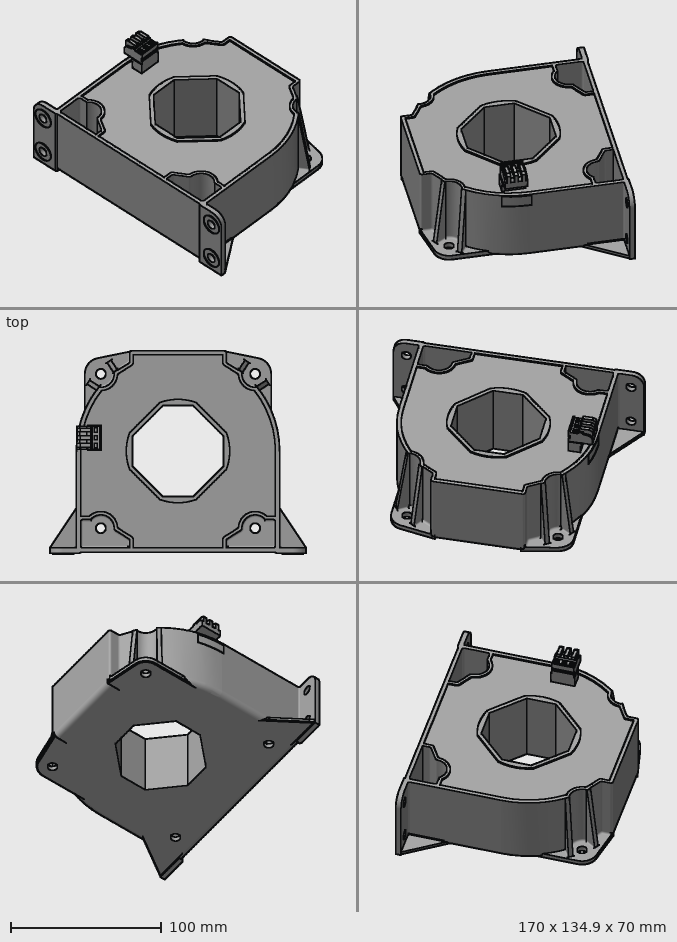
import cadquery as cq
import math

body_height = 51.7
body_half_width = 67.5
body_back = 66.6
body_front = -67.2
bottom_radius = 3.9
outer_wall = 2.9
back_corner_radius = 1.5
lip_radius = 5.1
recess_depth = 1.0
floor_thickness = 4.0
floor_fillet = 1.5

window_half = 30.1
window_flat_half = 10.0
window_rim_radius = 34.3
window_rim_wall = 2.9

screw_pitch = 102.3
screw_diameter = 6.5
corner_radius = 8.8
corner_wall = 2.2
corner_inner_x = 32.0
corner_kink_y = 58.6
corner_shoulder_y = 45.4
corner_blend = 2.0
corner_slope = math.radians(32)

edge_chamfer = 0.7
ear_radius = 10.7
rib_thickness = 3.0
rib_root = (40.5, 51.3)
rib_tip = (45.7, 59.5)
rib_wall_run = 2.0

plug_right = -50.8
plug_left = -67.2
plug_y = (1.2, 16.5)
plug_bottom = 58.6
plug_top = 66.6
plug_lip_top = 67.7
plug_lip_width = 1.2
plug_nose_top = 63.5
plug_nose_bend = (-65.3, 65.8)
plug_step_left = -60.7
plug_step_right = -57.0
plug_fin_top = 70.0
stem_y = (0.7, 17)
stem_left = -59.2
stem_root_depth = 2.0
collar_left = -59.8
collar_bottom = 55.6
pole_pitch = 5.1
fin_width = 2.5
fin_nose_top = 68.7
fin_crest_left = -65.0
fin_right = -58.0
socket_size = (2.2, 2.9)
socket_x = -54.5
socket_depth = 1.4
groove_depth = 1.0
groove_z = (61.2, 63.2)

plate_half_span = 85
plate_inner_x = 64.1
plate_front = -67.8
plate_thickness = 3.7
plate_step_run = 1.2
plate_corner_radius = 8.5
plate_hole_x = 76.2
plate_hole_heights = (10.7, 40.8)
pad_diameter = 14.0
pad_height = 0.5

gusset_start_y = -37.9
gusset_thickness = 2.9
cove_radius = 1.0

panel_y = (-1.5, 18.2)
panel_z = (42.5, 50.7)
panel_depth = 0.3

screw_offset = screw_pitch / 2
far = 102


def box(x_range, y_range, z_range):
    """Axis-aligned box from its three ranges."""
    size = [r[1] - r[0] for r in (x_range, y_range, z_range)]
    return cq.Workplane("XY").box(*size, centered=False).translate((x_range[0], y_range[0], z_range[0]))


def mirrored_in_x(shape):
    """The shape together with its mirror image across the YZ plane."""
    return shape.union(shape.mirror("YZ"))


def cove(plane, length):
    """Concave fillet filling the corner at the plane's origin."""
    middle = cove_radius * (1 - math.sqrt(0.5))
    return (
        plane.lineTo(cove_radius, 0)
        .threePointArc((middle, middle), (0, cove_radius))
        .close()
        .extrude(length)
    )


def body_block(inset, bottom, height):
    """Straight front and sides, shoulders round about the origin up to 45 degrees and a flat back."""
    radius = body_half_width - inset
    back = body_back - inset
    front = body_front + inset
    mid_x = radius * math.cos(math.pi / 8)
    mid_y = radius * math.sin(math.pi / 8)
    end = radius * math.sqrt(0.5)
    return (
        cq.Workplane("XY", origin=(0, 0, bottom))
        .moveTo(-radius, front)
        .lineTo(radius, front)
        .lineTo(radius, 0)
        .threePointArc((mid_x, mid_y), (end, end))
        .lineTo(end, back)
        .lineTo(-end, back)
        .lineTo(-end, end)
        .threePointArc((-mid_x, mid_y), (-radius, 0))
        .close()
        .extrude(height)
    )


def corner_clearance(grow, bottom):
    """Space around the back-right screw, open to the right and the back, enlarged by grow."""
    inner_x = corner_inner_x - grow
    kink_y = corner_kink_y - grow * math.tan((math.pi / 2 - corner_slope) / 2)
    shoulder_y = corner_shoulder_y - grow
    slope_end_y = kink_y - (screw_offset - inner_x) * math.tan(corner_slope)
    wedge = (
        cq.Workplane("XY", origin=(0, 0, bottom))
        .polyline([
            (inner_x, far),
            (inner_x, kink_y),
            (screw_offset, slope_end_y),
            (screw_offset, shoulder_y),
            (far, shoulder_y),
            (far, far),
        ])
        .close()
        .extrude(far)
    )
    ring = (
        cq.Workplane("XY", origin=(screw_offset, screw_offset, bottom))
        .circle(corner_radius + grow)
        .extrude(far)
    )
    clearance = wedge.union(ring)
    inner_side = cq.selectors.BoxSelector((0, 0, 0), (screw_offset, far, 2 * far))
    return clearance.edges("|Z").edges(inner_side).fillet(corner_blend)


def window_prism():
    """Square prism with its corners cut at 45 degrees."""
    square = cq.Workplane("XY").rect(2 * window_half, 2 * window_half).extrude(far)
    return square.edges("|Z").chamfer(window_half - window_flat_half)


def window_rim():
    """Outside of the wall around the window: a circle trimmed parallel to the 45-degree flats."""
    trim_half = (window_half + window_flat_half) / math.sqrt(2) + window_rim_wall
    trim = cq.Workplane("XY").rect(2 * trim_half, 2 * trim_half).extrude(far)
    trim = trim.rotate((0, 0, 0), (0, 0, 1), 45)
    return cq.Workplane("XY").circle(window_rim_radius).extrude(far).intersect(trim)


def housing():
    """Body with open back corners, two front pockets and a sunken top face."""
    body = body_block(0, 0, body_height).cut(mirrored_in_x(corner_clearance(0, 0)))
    body = body.edges("|Z").edges(">Y").fillet(back_corner_radius)
    lip_zone = cq.selectors.BoxSelector((-far, screw_offset - ear_radius, 0), (far, corner_shoulder_y, far))
    body = body.edges("|Z").edges(lip_zone).fillet(lip_radius)
    body = body.faces("<Z").edges().fillet(bottom_radius)

    inside = body_block(outer_wall, 0, far)
    pocket = corner_clearance(0, floor_thickness).mirror("XZ").intersect(inside)
    pocket = pocket.edges("|Z and >X").fillet(floor_fillet)
    pocket = pocket.faces("<Z").edges().fillet(floor_fillet)
    body = body.cut(mirrored_in_x(pocket))

    recess_floor = body_height - recess_depth
    recess = body_block(outer_wall, recess_floor, far)
    wall = mirrored_in_x(corner_clearance(corner_wall, 0))
    return body.cut(recess.cut(wall).cut(wall.mirror("XZ")).cut(window_rim()))


def side_panel():
    """Shallow label panel following the left wall."""
    skin = body_block(0, 0, body_height).cut(body_block(panel_depth, 0, body_height))
    return skin.intersect(box((-far, 0), panel_y, panel_z))


def ear_prism(height):
    """Outline of the back-right ear, rounded about its screw, raised to the given height."""
    start_x = corner_inner_x - outer_wall
    dx = start_x - screw_offset
    dy = body_back - screw_offset
    reach = math.hypot(dx, dy)
    tangent_angle = math.atan2(dy, dx) - math.acos(ear_radius / reach)
    mid_angle = tangent_angle / 2

    def on_arc(angle):
        return (screw_offset + ear_radius * math.cos(angle), screw_offset + ear_radius * math.sin(angle))

    return (
        cq.Workplane("XY")
        .moveTo(start_x, body_back)
        .lineTo(*on_arc(tangent_angle))
        .threePointArc(on_arc(mid_angle), on_arc(0))
        .lineTo(screw_offset + ear_radius, 0)
        .lineTo(start_x, 0)
        .close()
        .extrude(height)
    )


def ear():
    """Back-right mounting ear with a fillet where it meets the body walls."""
    plate = ear_prism(floor_thickness).faces("<Z").edges(">X or >Y").chamfer(edge_chamfer)
    space = corner_clearance(0, floor_thickness).faces("<Z").edges().fillet(floor_fillet)
    fillet_height = floor_thickness + floor_fillet
    skirt = ear_prism(fillet_height).cut(space).intersect(body_block(0, bottom_radius, body_height))
    return plate.union(skirt)


def rib():
    """Upright triangular rib between the back-right ear and the sloping wall."""
    length = math.dist(rib_root, rib_tip)
    angle = math.degrees(math.atan2(rib_tip[1] - rib_root[1], rib_tip[0] - rib_root[0]))
    web = (
        cq.Workplane("XZ")
        .polyline([
            (0, 0),
            (length, 0),
            (length, floor_thickness),
            (rib_wall_run, body_height),
            (0, body_height),
        ])
        .close()
        .extrude(rib_thickness / 2, both=True)
    )
    foot = cove(cq.Workplane("YZ", origin=(0, rib_thickness / 2, floor_thickness)), length)
    web = web.union(foot).union(foot.mirror("XZ"))
    return web.rotate((0, 0, 0), (0, 0, 1), angle).translate((*rib_root, 0))


def ear_ribs():
    """Two ribs, mirror images across the diagonal through the screw."""
    first = rib()
    second = first.mirror("YZ").rotate((0, 0, 0), (0, 0, 1), -90)
    return first.union(second)


def end_plate():
    """Right-hand upright plate with two drilled pads."""
    back = plate_front + plate_thickness
    plate = (
        cq.Workplane("XY")
        .polyline([
            (plate_inner_x, back),
            (plate_inner_x, body_front),
            (plate_inner_x + plate_step_run, plate_front),
            (plate_half_span, plate_front),
            (plate_half_span, back),
        ])
        .close()
        .extrude(body_height)
        .edges("|Y and >X and >Z")
        .fillet(plate_corner_radius)
    )
    centres = [(plate_hole_x, z) for z in plate_hole_heights]
    pads = (
        cq.Workplane("XZ", origin=(0, plate_front, 0))
        .pushPoints(centres)
        .circle(pad_diameter / 2)
        .extrude(pad_height)
    )
    holes = (
        cq.Workplane("XZ", origin=(0, back, 0))
        .pushPoints(centres)
        .circle(screw_diameter / 2)
        .extrude(plate_thickness + pad_height)
    )
    return plate.union(pads).cut(holes)


def gusset():
    """Flat triangle along the bottom between the right wall and its end plate."""
    back = plate_front + plate_thickness
    slope = (plate_half_span - body_half_width) / (gusset_start_y - back)
    inner_x = body_half_width - 2 * bottom_radius
    inner_y = gusset_start_y + (body_half_width - inner_x) / slope
    web = (
        cq.Workplane("XY")
        .polyline([(inner_x, inner_y), (plate_half_span, back), (inner_x, back)])
        .close()
        .extrude(gusset_thickness)
    )
    web = web.faces("<Z").edges(">X").chamfer(edge_chamfer)
    foot_start_y = gusset_start_y - cove_radius / slope
    wall_foot = cq.Workplane("XZ", origin=(body_half_width, foot_start_y, gusset_thickness))
    wall_corner = cq.Workplane("XY", origin=(body_half_width, back, 0))
    web_cove = cove(wall_foot, foot_start_y - back)
    plate_cove = cove(wall_corner, body_height)
    return web.union(web_cove).union(plate_cove)


def connector():
    """Stem, collar and plug with one fin and one socket per pole."""
    pole_centre = sum(plug_y) / 2
    poles = [pole_centre + i * pole_pitch for i in (-1, 0, 1)]
    plug = (
        cq.Workplane("XZ", origin=(0, plug_y[1], 0))
        .polyline([
            (plug_left, plug_bottom),
            (plug_left, plug_nose_top),
            plug_nose_bend,
            (plug_step_left, plug_top),
            (plug_step_left, plug_lip_top),
            (fin_right, plug_lip_top),
            (plug_step_right, plug_top),
            (plug_right - plug_lip_width, plug_top),
            (plug_right - plug_lip_width, plug_lip_top),
            (plug_right, plug_lip_top),
            (plug_right, plug_bottom),
        ])
        .close()
        .extrude(plug_y[1] - plug_y[0])
    )
    stem = box((stem_left, plug_right), stem_y, (body_height - stem_root_depth, plug_bottom))
    collar = box((collar_left, plug_right), stem_y, (collar_bottom, plug_bottom))
    groove = box((plug_right - groove_depth, plug_right), plug_y, groove_z)
    plug = plug.union(stem).union(collar).cut(groove)
    for y in poles:
        fin = (
            cq.Workplane("XZ", origin=(0, y, 0))
            .polyline([
                (plug_left, plug_bottom),
                (plug_left, fin_nose_top),
                (fin_crest_left, plug_fin_top),
                (fin_right, plug_fin_top),
                (fin_right, plug_bottom),
            ])
            .close()
            .extrude(fin_width / 2, both=True)
        )
        plug = plug.union(fin)
        socket_floor = cq.Workplane("XY", origin=(socket_x, y, plug_top - socket_depth))
        plug = plug.cut(socket_floor.rect(*socket_size).extrude(far))
    return plug


part = housing().cut(side_panel())
for right_feature in (ear(), ear_ribs(), end_plate(), gusset()):
    part = part.union(mirrored_in_x(right_feature))
part = part.union(connector())
part = part.cut(window_prism())
screw_holes = (
    cq.Workplane("XY")
    .rect(screw_pitch, screw_pitch, forConstruction=True)
    .vertices()
    .circle(screw_diameter / 2)
    .extrude(floor_thickness)
)
result = part.cut(screw_holes)